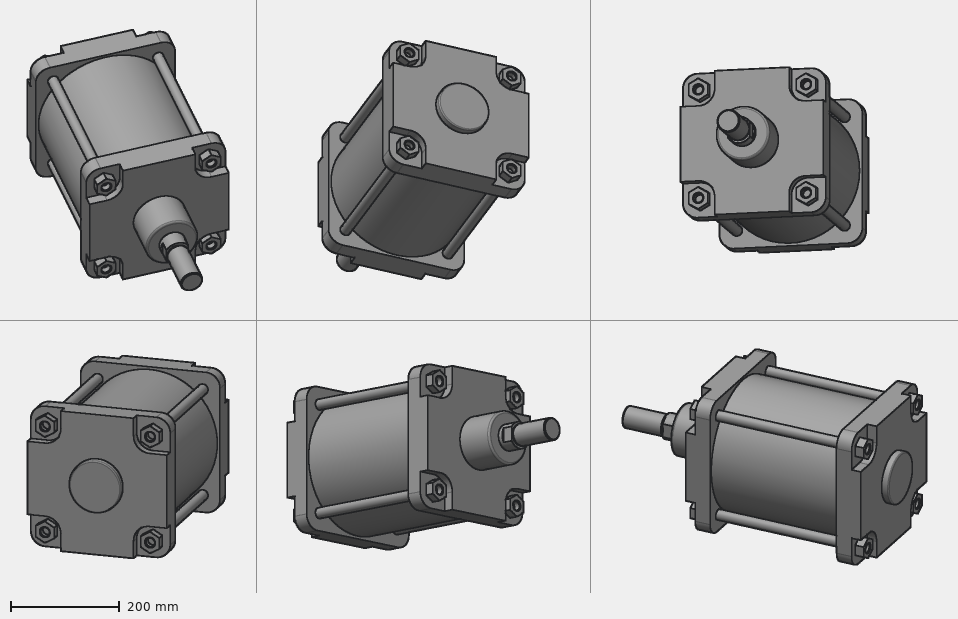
import cadquery as cq


HEAD_REAR_X = 14.0
HEAD_THICKNESS = 50.0
BARREL_LENGTH = 260.0
BOSS_END_X = 448.5
FLATS_START_X = 458.5
SHOULDER_X = 479.0
ROD_END_X = 563.0

BARREL_REAR_X = HEAD_REAR_X + HEAD_THICKNESS
BARREL_FRONT_X = BARREL_REAR_X + BARREL_LENGTH
HEAD_FRONT_X = BARREL_FRONT_X + HEAD_THICKNESS

HEAD_SIZE = 270.0
HEAD_CORNER_RADIUS = 27.5
POCKET_SIZE = 65.0
POCKET_DEPTH = 19.0
POCKET_RADIUS = 31.0
BOSS_DIAMETER = 100.0
REAR_BOSS_FILLET = 2.0
FRONT_BOSS_FILLET = 4.0

BARREL_DIAMETER = 260.0

TIE_ROD_DIAMETER = 20.0
TIE_ROD_OFFSET = 102.0
NUT_ACROSS_FLATS = 36.0
NUT_HEIGHT = 17.5
NUT_HOLE_DIAMETER = 17.0
NUT_HOLE_DEPTH = 14.0
NUT_HOLE_CHAMFER = (TIE_ROD_DIAMETER - NUT_HOLE_DIAMETER) / 2

ROD_DIAMETER = 50.0
ROD_ACROSS_FLATS = 42.0
STUD_DIAMETER = 42.0
STUD_CHAMFER_LENGTH = 2.0
STUD_CHAMFER_DEPTH = 1.5
NECK_LENGTH = 1.5

SIDES = (-1, 1)
CORNERS = [(y_side, z_side) for y_side in SIDES for z_side in SIDES]


def section_at(x):
    """Sketch plane at station x, with local axes along Y and Z, extruding toward +X."""
    return cq.Workplane("YZ", origin=(x, 0, 0))


def cylinder(x_start, x_end, diameter):
    return section_at(x_start).circle(diameter / 2).extrude(x_end - x_start)


def head_plate(x_start, pocket_start):
    """Square plate with rounded corners, a pocket in each outer corner and tie rod holes."""
    plate = section_at(x_start).rect(HEAD_SIZE, HEAD_SIZE).extrude(HEAD_THICKNESS)
    plate = plate.edges("|X").fillet(HEAD_CORNER_RADIUS)

    block_size = 2 * POCKET_SIZE
    block_centres = [(y * HEAD_SIZE / 2, z * HEAD_SIZE / 2) for y, z in CORNERS]
    pockets = (
        section_at(pocket_start)
        .pushPoints(block_centres)
        .rect(block_size, block_size)
        .extrude(POCKET_DEPTH)
        .edges("|X")
        .fillet(POCKET_RADIUS)
    )

    hole_centres = [(y * TIE_ROD_OFFSET, z * TIE_ROD_OFFSET) for y, z in CORNERS]
    holes = (
        section_at(x_start)
        .pushPoints(hole_centres)
        .circle(TIE_ROD_DIAMETER / 2)
        .extrude(HEAD_THICKNESS)
    )
    return plate.cut(pockets).cut(holes)


def make_rear_head():
    boss = cylinder(0, HEAD_REAR_X, BOSS_DIAMETER).faces("<X").edges().fillet(REAR_BOSS_FILLET)
    return head_plate(HEAD_REAR_X, HEAD_REAR_X).union(boss)


def make_front_head():
    boss = cylinder(HEAD_FRONT_X, BOSS_END_X, BOSS_DIAMETER).faces(">X").edges().fillet(FRONT_BOSS_FILLET)
    rod_hole = cylinder(BARREL_FRONT_X, BOSS_END_X, ROD_DIAMETER)
    plate = head_plate(BARREL_FRONT_X, HEAD_FRONT_X - POCKET_DEPTH)
    return plate.union(boss).cut(rod_hole)


def make_barrel():
    return cylinder(BARREL_REAR_X, BARREL_FRONT_X, BARREL_DIAMETER)


def make_tie_rod(y, z):
    """Tie rod with a hexagonal nut at each end; each nut has a blind hole in its outer face."""
    rear_seat_x = HEAD_REAR_X + POCKET_DEPTH
    front_seat_x = HEAD_FRONT_X - POCKET_DEPTH
    tie_rod = cylinder(rear_seat_x, front_seat_x, TIE_ROD_DIAMETER)

    for seat_x, outward in ((rear_seat_x, -1), (front_seat_x, 1)):
        nut = (
            section_at(seat_x)
            .polygon(6, NUT_ACROSS_FLATS, circumscribed=True)
            .extrude(outward * NUT_HEIGHT)
        )
        face_x = seat_x + outward * NUT_HEIGHT
        hole = section_at(face_x).circle(NUT_HOLE_DIAMETER / 2).extrude(-outward * NUT_HOLE_DEPTH)
        countersink = (
            section_at(face_x)
            .circle(TIE_ROD_DIAMETER / 2)
            .workplane(offset=-outward * NUT_HOLE_CHAMFER)
            .circle(NUT_HOLE_DIAMETER / 2)
            .loft()
        )
        tie_rod = tie_rod.union(nut).cut(hole).cut(countersink)

    return tie_rod.translate((0, y, z))


def make_piston_rod():
    """Rod from the barrel through the front head, with two wrench flats and a chamfered stud."""
    rod = cylinder(BARREL_FRONT_X, SHOULDER_X, ROD_DIAMETER)

    flats_length = SHOULDER_X - FLATS_START_X
    flatted = section_at(FLATS_START_X).rect(ROD_ACROSS_FLATS, ROD_DIAMETER).extrude(flats_length)
    rod = rod.cut(cylinder(FLATS_START_X, SHOULDER_X, ROD_DIAMETER).cut(flatted))

    stud_radius = STUD_DIAMETER / 2
    tip_radius = stud_radius - STUD_CHAMFER_DEPTH
    neck_end_x = SHOULDER_X + NECK_LENGTH
    stud = (
        cq.Workplane("XY")
        .moveTo(SHOULDER_X, 0)
        .lineTo(SHOULDER_X, tip_radius)
        .lineTo(neck_end_x, tip_radius)
        .lineTo(neck_end_x + STUD_CHAMFER_LENGTH, stud_radius)
        .lineTo(ROD_END_X - STUD_CHAMFER_LENGTH, stud_radius)
        .lineTo(ROD_END_X, tip_radius)
        .lineTo(ROD_END_X, 0)
        .close()
        .revolve(360, (0, 0, 0), (1, 0, 0))
    )
    return rod.union(stud)


rear_head = make_rear_head()
front_head = make_front_head()
barrel = make_barrel()
tie_rods = [make_tie_rod(y * TIE_ROD_OFFSET, z * TIE_ROD_OFFSET) for y, z in CORNERS]
piston_rod = make_piston_rod()

result = cq.Compound.makeCompound([
    rear_head.val(),
    front_head.val(),
    barrel.val(),
    *[tie_rod.val() for tie_rod in tie_rods],
    piston_rod.val(),
])